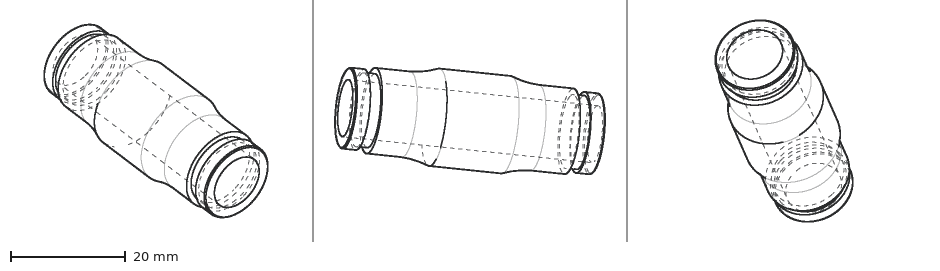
import cadquery as cq

length = 45.0
collar_length = 2.6
groove_length = 2.02
sleeve_length = 6.25
flare_length = 5.15
collar_chamfer = 0.22

barrel_diameter = 17.1
sleeve_diameter = 15.05
groove_diameter = 12.95
collar_diameter = 14.2
bore_diameter = 10.0

flare_dip = 0.22

half_length = length / 2
collar_inner_x = half_length - collar_length
sleeve_outer_x = collar_inner_x - groove_length
sleeve_inner_x = sleeve_outer_x - sleeve_length
barrel_end_x = sleeve_inner_x - flare_length


def cylinder(diameter, half_span):
    """Cylinder on the X axis, centred on the origin."""
    return cq.Workplane("YZ").circle(diameter / 2).extrude(half_span, both=True)


def make_flared_body():
    """Central barrel narrowing through concave flares to a sleeve at both ends."""
    sleeve_radius = sleeve_diameter / 2
    barrel_radius = barrel_diameter / 2
    flare_middle_x = (sleeve_inner_x + barrel_end_x) / 2
    flare_middle_radius = (sleeve_radius + barrel_radius) / 2 - flare_dip
    return (
        cq.Workplane("XY")
        .moveTo(-sleeve_outer_x, 0)
        .lineTo(-sleeve_outer_x, sleeve_radius)
        .lineTo(-sleeve_inner_x, sleeve_radius)
        .threePointArc((-flare_middle_x, flare_middle_radius), (-barrel_end_x, barrel_radius))
        .lineTo(barrel_end_x, barrel_radius)
        .threePointArc((flare_middle_x, flare_middle_radius), (sleeve_inner_x, sleeve_radius))
        .lineTo(sleeve_outer_x, sleeve_radius)
        .lineTo(sleeve_outer_x, 0)
        .close()
        .revolve(360, (0, 0, 0), (1, 0, 0))
    )


def make_collars():
    """Release collars at both ends, chamfered on their outer rims."""
    full_rod = cylinder(collar_diameter, half_length).faces("<X or >X").chamfer(collar_chamfer)
    gap = cylinder(barrel_diameter, collar_inner_x)
    return full_rod.cut(gap)


core = cylinder(groove_diameter, collar_inner_x)
bore = cylinder(bore_diameter, half_length)
result = make_flared_body().union(core).union(make_collars()).cut(bore)